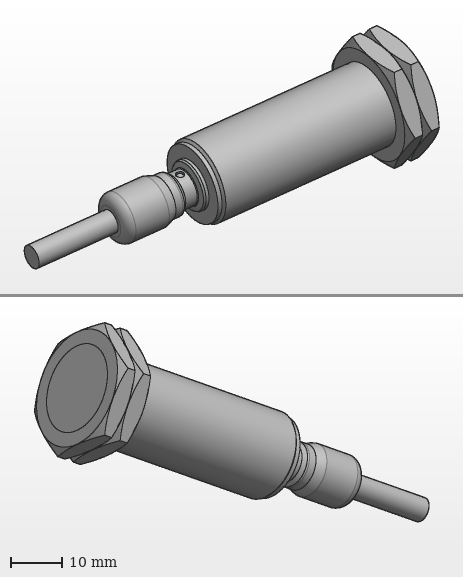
import cadquery as cq
import math


TOTAL_LENGTH = 89.2
BARREL_RADIUS = 9.0
BARREL_END = 49.5
RIM_RADIUS = 8.5
RIM_END = 50.5
BARREL_CHAMFER = BARREL_RADIUS - RIM_RADIUS

PLUG_DIAMETER = 11.0
PLUG_RADIUS = PLUG_DIAMETER / 2
RING_EDGE = 51.2
RING_END = 51.65
RING_FACE_RADIUS = 5.3
NECK_RADIUS = 3.9
NECK_START = 52.2
NECK_ROOT_RADIUS = 4.1
NECK_ROOT = 52.0
NECK_END = 54.95

SLEEVE_RADIUS = 4.7
SLEEVE_CONE_RADIUS = 4.6
SLEEVE_CONE_END = 55.75
SLEEVE_START = 56.2
SLEEVE_END = 57.9
SHOULDER_END = 60.0
SHOULDER_BULGE = 0.1
PLUG_END = 70.2
PLUG_FILLET = 2.1
CABLE_RADIUS = 2.5

LAMP_RADIUS = 0.9
LAMP_POSITION = 53.5

NUT_COUNT = 2
NUT_THICKNESS = 4.0
NUT_ACROSS_FLATS = 24.0
NUT_FACE_RADIUS = 11.95
NUT_CHAMFER_ANGLE = math.radians(30)


def sensor_profile():
    """Half outline of the sensor: radius along X, axial position along Y."""
    arc_offset = PLUG_FILLET * math.sqrt(0.5)
    fillet_center_radius = PLUG_RADIUS - PLUG_FILLET
    fillet_start = PLUG_END - PLUG_FILLET
    shoulder_mid = (
        (SLEEVE_RADIUS + PLUG_RADIUS) / 2 + SHOULDER_BULGE,
        -(SLEEVE_END + SHOULDER_END) / 2,
    )
    return (
        cq.Workplane("XY")
        .moveTo(0, 0)
        .lineTo(BARREL_RADIUS, 0)
        .lineTo(BARREL_RADIUS, -(BARREL_END - BARREL_CHAMFER))
        .lineTo(RIM_RADIUS, -BARREL_END)
        .lineTo(RIM_RADIUS, -RIM_END)
        .lineTo(PLUG_RADIUS, -RIM_END)
        .lineTo(PLUG_RADIUS, -RING_EDGE)
        .lineTo(RING_FACE_RADIUS, -RING_END)
        .lineTo(NECK_ROOT_RADIUS, -NECK_ROOT)
        .lineTo(NECK_RADIUS, -NECK_START)
        .lineTo(NECK_RADIUS, -NECK_END)
        .lineTo(SLEEVE_CONE_RADIUS, -SLEEVE_CONE_END)
        .lineTo(SLEEVE_RADIUS, -SLEEVE_START)
        .lineTo(SLEEVE_RADIUS, -SLEEVE_END)
        .threePointArc(shoulder_mid, (PLUG_RADIUS, -SHOULDER_END))
        .lineTo(PLUG_RADIUS, -fillet_start)
        .threePointArc(
            (fillet_center_radius + arc_offset, -(fillet_start + arc_offset)),
            (fillet_center_radius, -PLUG_END),
        )
        .lineTo(CABLE_RADIUS, -PLUG_END)
        .lineTo(CABLE_RADIUS, -TOTAL_LENGTH)
        .lineTo(0, -TOTAL_LENGTH)
        .close()
    )


def lamp_recess():
    """Round hole from the top of the neck down to the dome of the lamp."""
    dome_center = NECK_RADIUS - LAMP_RADIUS
    hole = (
        cq.Workplane("XY", origin=(0, -LAMP_POSITION, dome_center))
        .circle(LAMP_RADIUS)
        .extrude(2 * LAMP_RADIUS)
    )
    dome = cq.Workplane("XY", origin=(0, -LAMP_POSITION, dome_center)).sphere(LAMP_RADIUS)
    return hole.cut(dome)


def make_sensor():
    """Barrel, plug and cable as one turned body with the lamp in its neck."""
    turned = sensor_profile().revolve(360, (0, 0, 0), (0, 1, 0))
    return turned.cut(lamp_recess())


def make_nut(start):
    """Hexagon nut, chamfered on both faces, from Y = -start toward -Y."""
    corner_radius = NUT_ACROSS_FLATS / math.sqrt(3)
    chamfer_depth = (corner_radius - NUT_FACE_RADIUS) * math.tan(NUT_CHAMFER_ANGLE)
    near = -start
    far = near - NUT_THICKNESS
    hexagon = (
        cq.Workplane("XZ", origin=(0, near, 0))
        .polygon(6, 2 * corner_radius)
        .extrude(NUT_THICKNESS)
    )
    chamfer_envelope = (
        cq.Workplane("XY")
        .polyline([
            (BARREL_RADIUS, near),
            (NUT_FACE_RADIUS, near),
            (corner_radius, near - chamfer_depth),
            (corner_radius, far + chamfer_depth),
            (NUT_FACE_RADIUS, far),
            (BARREL_RADIUS, far),
        ])
        .close()
        .revolve(360, (0, 0, 0), (0, 1, 0))
    )
    return hexagon.intersect(chamfer_envelope)


sensor = make_sensor()
nuts = [make_nut(index * NUT_THICKNESS) for index in range(NUT_COUNT)]

result = cq.Compound.makeCompound(
    [sensor.solids().val(), *[nut.solids().val() for nut in nuts]]
)